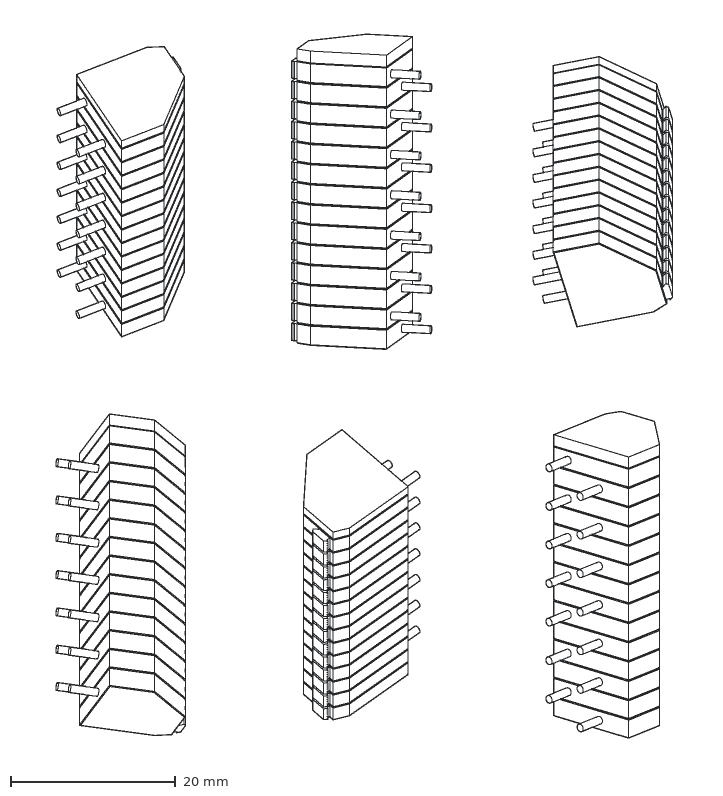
import cadquery as cq


total_height = 36.5
end_plate_thickness = 1.5
pole_count = 14
block_height = total_height - end_plate_thickness
pole_pitch = block_height / pole_count
edge_chamfer = 0.1

body_width = 12.0
body_depth = 11.55
left_bevel_width = 0.88
left_bevel_depth = 1.95
right_bevel = 5.75

pin_diameter = 1.0
pin_length = 3.58
left_row_x = 2.3
row_spacing = 5.0

lever_height = 0.88
lever_length = 2.1
lever_stem_left = 1.45
lever_stem_right = 3.45
lever_stem_step = 0.15
lever_left_lip = 0.2
lever_right_lip = 0.4
lever_left_lip_height = 0.47
lever_right_lip_height = 0.6
lever_top_left = 1.6
lever_top_right = 3.6


def pole_middle(index):
    """Z of the middle of a pole, counted from the bottom."""
    return (index + 0.5) * pole_pitch


def body_prism(bottom, height):
    """Cross-section of the housing, extruded upward from a given Z."""
    outline = [
        (0, 0),
        (body_width, 0),
        (body_width, body_depth - right_bevel),
        (body_width - right_bevel, body_depth),
        (left_bevel_width, body_depth),
        (0, body_depth - left_bevel_depth),
    ]
    return cq.Workplane("XY", origin=(0, 0, bottom)).polyline(outline).close().extrude(height)


def pole_housing(index):
    """One pole, bevelled around both ends so that neighbours meet in a V-groove."""
    pole = body_prism(index * pole_pitch, pole_pitch)
    return pole.faces("<Z or >Z").edges().chamfer(edge_chamfer)


def solder_pin(index):
    """Round pin; even poles counted from the bottom use the right row."""
    pin_x = left_row_x
    if index % 2 == 0:
        pin_x += row_spacing
    return (
        cq.Workplane("XZ")
        .center(pin_x, pole_middle(index))
        .circle(pin_diameter / 2)
        .extrude(pin_length)
    )


def release_lever(index):
    """Lever with an overhanging lip on each side of its stem."""
    outline = [
        (lever_stem_left, 0),
        (lever_stem_right, 0),
        (lever_stem_right, lever_stem_step),
        (lever_stem_right + lever_right_lip, lever_right_lip_height),
        (lever_top_right, lever_height),
        (lever_top_left, lever_height),
        (lever_stem_left - lever_left_lip, lever_left_lip_height),
        (lever_stem_left, lever_left_lip_height),
    ]
    lever_bottom = pole_middle(index) - lever_length / 2
    return (
        cq.Workplane("XY", origin=(0, body_depth, lever_bottom))
        .polyline(outline)
        .close()
        .extrude(lever_length)
    )


def make_terminal_block():
    """All poles with their pins and levers as one solid."""
    block = pole_housing(0)
    for index in range(1, pole_count):
        block = block.union(pole_housing(index))
    for index in range(pole_count):
        block = block.union(solder_pin(index)).union(release_lever(index))
    return block


def make_end_plate():
    """Plain plate closing the top of the stack."""
    return body_prism(block_height, end_plate_thickness)


terminal_block = make_terminal_block()
end_plate = make_end_plate()

result = cq.Compound.makeCompound([terminal_block.solids().val(), end_plate.val()])